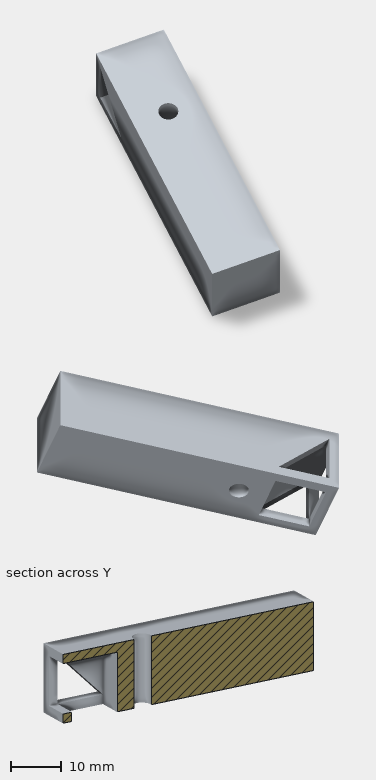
import cadquery as cq

length = 58.0
side = 14.55

wall = 2.05
chamber = side - 2 * wall

hole_diameter = 3.95
hole_x = 18.5
hole_y = 0.3


def open_chamber():
    """Square chamber open through the end wall, with a flat back."""
    return cq.Workplane("XY").box(wall + chamber, chamber, chamber, centered=(False, True, False)).translate(
        (0, 0, wall)
    )


def floor_window():
    """Square window through the floor of the chamber."""
    return cq.Workplane("XY").box(chamber, chamber, wall, centered=(False, True, False)).translate((wall, 0, 0))


def side_windows():
    """Right-angled triangular windows through both side walls of the chamber."""
    return (
        cq.Workplane("XZ")
        .polyline([(wall, wall), (wall + chamber, wall), (wall, wall + chamber)])
        .close()
        .extrude(side / 2, both=True)
    )


def vertical_hole():
    """Round hole from the top face to the underside."""
    return cq.Workplane("XY").center(hole_x, hole_y).circle(hole_diameter / 2).extrude(side)


bar = cq.Workplane("XY").box(length, side, side, centered=(False, True, False))
result = bar.cut(open_chamber()).cut(floor_window()).cut(side_windows()).cut(vertical_hole())